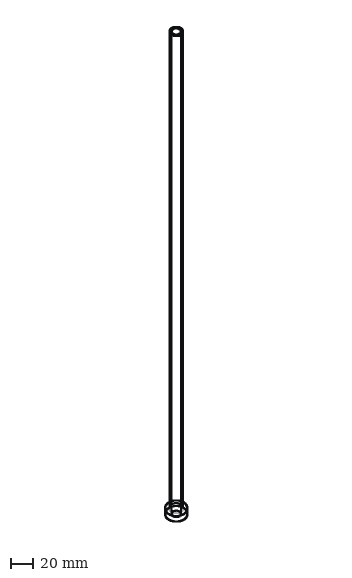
import cadquery as cq

total_length = 600.0
head_diameter = 20.0
head_height = 7.0
tube_diameter = 12.0
bore_diameter = 8.2
neck_fillet_radius = 0.8

head_radius = head_diameter / 2
tube_radius = tube_diameter / 2
neck_top = head_height + neck_fillet_radius
neck_foot_radius = tube_radius + neck_fillet_radius


def make_headed_rod():
    """Solid of revolution: head, concave neck fillet and straight rod."""
    half_outline = (
        cq.Workplane("XZ")
        .lineTo(head_radius, 0)
        .lineTo(head_radius, head_height)
        .lineTo(neck_foot_radius, head_height)
        .radiusArc((tube_radius, neck_top), neck_fillet_radius)
        .lineTo(tube_radius, total_length)
        .lineTo(0, total_length)
        .close()
    )
    return half_outline.revolve(360, (0, 0, 0), (0, 1, 0))


def cut_bore(body):
    """Drill the through bore along the axis."""
    bore = cq.Workplane("XY").circle(bore_diameter / 2).extrude(total_length)
    return body.cut(bore)


result = cut_bore(make_headed_rod())